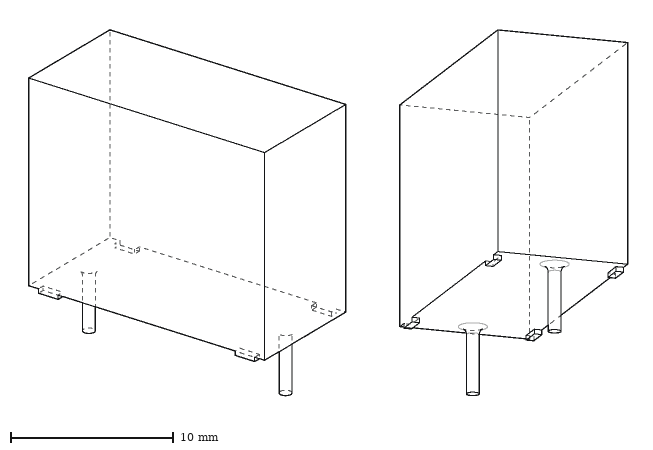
import cadquery as cq

length = 18.0
width = 8.5
total_height = 18.5
pin_reach = 4.0
foot_height = 0.3
case_height = total_height - pin_reach - foot_height

pin_pitch = 15.0
pin_diameter = 0.8
foot_length = 1.5
foot_width = 0.5

collar_fillet = 0.5

case_bottom = foot_height
pin_positions = [-pin_pitch / 2, pin_pitch / 2]


def make_case():
    return cq.Workplane("XY").workplane(offset=case_bottom).box(
        length, width, case_height, centered=(True, True, False)
    )


def make_feet():
    """Four standoff feet, flush with the long sides and in line with the pins."""
    foot_y = (width - foot_width) / 2
    centers = [(x, y) for x in pin_positions for y in (-foot_y, foot_y)]
    return cq.Workplane("XY").pushPoints(centers).rect(foot_length, foot_width).extrude(foot_height)


def make_pin(x):
    """Round pin revolved with a concave fillet up to the case."""
    radius = pin_diameter / 2
    flare_radius = radius + collar_fillet
    collar_bottom = case_bottom - collar_fillet
    profile = (
        cq.Workplane("XZ")
        .moveTo(0, -pin_reach)
        .lineTo(radius, -pin_reach)
        .lineTo(radius, collar_bottom)
        .radiusArc((flare_radius, case_bottom), collar_fillet)
        .lineTo(0, case_bottom)
        .close()
    )
    return profile.revolve(360, (0, 0, 0), (0, 1, 0)).translate((x, 0, 0))


result = make_case().union(make_feet())
for pin_x in pin_positions:
    result = result.union(make_pin(pin_x))